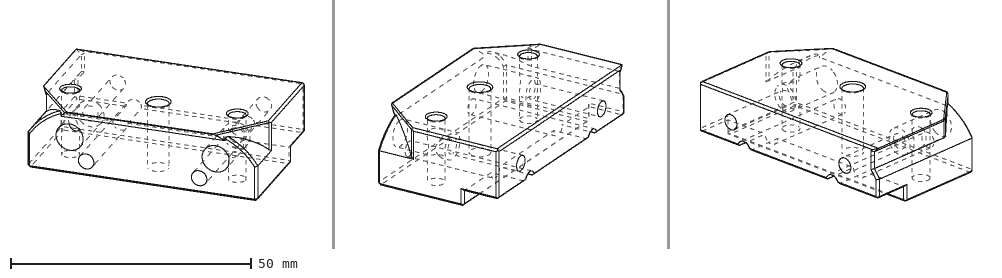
import cadquery as cq
import math

length = 50.85
depth = 31.25
height = 14.9
chamfer = 0.5
rim_chamfer = 0.3
mid_x = 25.55

front_y = 1.9
shoulder_z = 8.0
shoulder_mid = (3.35, 11.7)
shoulder_top = (7.3, 14.0)
step_length = 8.45
step_height = 3.5
margin = 0.05

wall_x = 1.5
lip = 1.1
upper_bottom_z = 6.1
front_land = 0.15
wall_end_chamfer = 0.4
corner_x = 8.65
corner_angle = 50.0
corner_y = corner_x * math.tan(math.radians(corner_angle))

bolt_diameter = 3.4
counterbore_diameter = 6.0
counterbore_depth = 12.7
bolt_offset = 16.15
bolt_z = 8.4
pin_diameter = 3.4
pin_offset = 12.5
pin_z = 3.4
top_hole_y = 11.45
countersink = 0.4
top_holes = [(6.1, 3.7), (mid_x, 4.55), (43.0, 3.7)]


def box(x0, x1, y0, y1, z0, z1):
    return cq.Workplane("XY").box(x1 - x0, y1 - y0, z1 - z0, centered=False).translate((x0, y0, z0))


def extrude_to_back(profile, start_y):
    """Extrude an XZ profile from start_y to the back face."""
    return profile.extrude(-(depth - start_y)).translate((0, start_y, 0))


def make_base():
    mid_left, mid_z = shoulder_mid
    top_left, top_z = shoulder_top
    profile = (
        cq.Workplane("XZ")
        .moveTo(0, 0)
        .lineTo(0, shoulder_z)
        .threePointArc(shoulder_mid, shoulder_top)
        .lineTo(length - top_left, top_z)
        .threePointArc((length - mid_left, mid_z), (length, shoulder_z))
        .lineTo(length, 0)
        .close()
    )
    base = extrude_to_back(profile, front_y)
    base = base.cut(box(0, length, depth - step_length, depth, 0, step_height))
    base = base.faces("<Y or >Y or <Z").chamfer(chamfer)
    step_sides = cq.selectors.BoxSelector(
        (-margin, depth - step_length - margin, chamfer),
        (length + margin, depth - chamfer, step_height + margin),
    )
    return base.edges(step_sides).edges("not |X").chamfer(chamfer)


def make_upper():
    profile = cq.Workplane("XZ").polyline([
        (wall_x, upper_bottom_z),
        (wall_x, height - lip),
        (wall_x - lip, height),
        (length, height),
        (length, upper_bottom_z),
    ]).close()
    upper = extrude_to_back(profile, 0)
    undercut = (
        cq.Workplane("YZ")
        .polyline([
            (0, 0),
            (0, height - front_land),
            (front_y, height - front_land - front_y),
            (front_y, 0),
        ])
        .close()
        .extrude(length)
    )
    upper = upper.cut(undercut)
    upper = upper.faces(">Y").chamfer(chamfer)
    upper = upper.edges(">X and >Z and |Y").chamfer(chamfer)
    for edge_x, inward in ((wall_x - lip, 1), (length, -1)):
        corner = (
            cq.Workplane("XY")
            .polyline([(edge_x, 0), (edge_x + inward * corner_x, 0), (edge_x, corner_y)])
            .close()
            .extrude(height)
        )
        upper = upper.cut(corner)
    for x0, x1 in ((0, wall_x + lip), (length - lip, length + lip)):
        wall_end = cq.selectors.BoxSelector(
            (x0, corner_y / 2, upper_bottom_z + lip), (x1, corner_y + lip, height - lip / 4)
        )
        upper = upper.edges(wall_end).edges("not |Y").chamfer(wall_end_chamfer)
    for x in (wall_x - lip + corner_x / 2, length - corner_x / 2):
        rim = cq.selectors.NearestToPointSelector((x, corner_y / 2, height))
        upper = upper.edges(rim).chamfer(rim_chamfer)
    return upper


def cut_front_holes(part):
    hole_depth = depth - front_y
    front = cq.Workplane("XZ", origin=(mid_x, front_y, 0))
    bolts = front.pushPoints([(-bolt_offset, bolt_z), (bolt_offset, bolt_z)])
    pins = front.pushPoints([(-pin_offset, pin_z), (pin_offset, pin_z)])
    part = part.cut(bolts.circle(bolt_diameter / 2).extrude(-hole_depth))
    part = part.cut(bolts.circle(counterbore_diameter / 2).extrude(-counterbore_depth))
    return part.cut(pins.circle(pin_diameter / 2).extrude(-hole_depth))


def cut_top_holes(part):
    for x, diameter in top_holes:
        radius = diameter / 2
        half_section = cq.Workplane("XY").polyline([
            (0, 0),
            (radius, 0),
            (radius, height - countersink),
            (radius + countersink, height),
            (0, height),
        ]).close()
        hole = half_section.revolve(360, (0, 0), (0, 1)).rotate((0, 0, 0), (1, 0, 0), 90)
        part = part.cut(hole.translate((x, top_hole_y, 0)))
    return part


block = make_base().union(make_upper())
result = cut_top_holes(cut_front_holes(block))